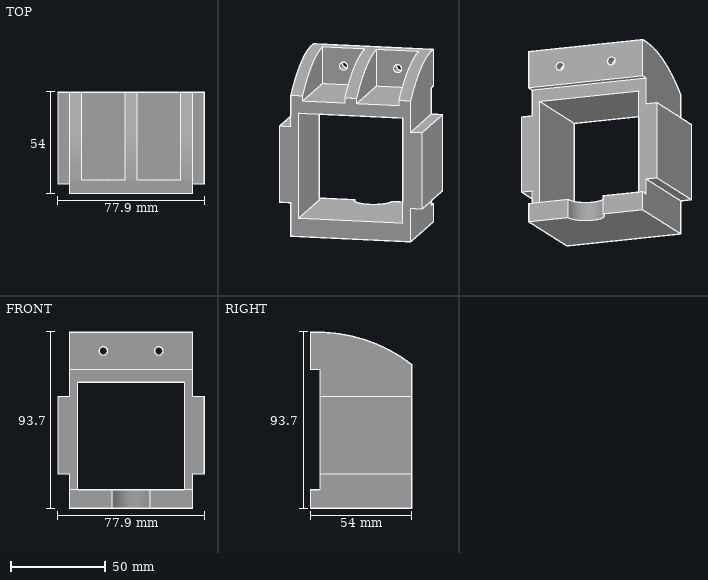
import cadquery as cq

height = 93.7
depth = 54.0
body_width = 65.5
width_over_flanges = 77.9

opening_width = 56.8
floor_thickness = 10.0
opening_top = 67.0

plate_height = 20.0
plate_thickness = 7.1
roof_top = height - plate_height
recess_depth = 5.1

flange_bottom = 18.2
flange_top = 59.6

rib_thickness = 6.5
rib_rear_height = 76.5
rib_crown_radius = 82.45

notch_radius = 10.0
hole_diameter = 4.3
hole_spacing = 29.5
hole_height = height - plate_height / 2


def block(width, y_front, y_back, z_bottom, z_top):
    """Box centred on x = 0 between the given y and z limits."""
    return cq.Workplane("XY").box(
        width, y_back - y_front, z_top - z_bottom, centered=(True, False, False)
    ).translate((0, y_front, z_bottom))


def rib(x_center):
    """Upright rib whose top arcs down from the plate to the rear."""
    return (
        cq.Workplane("YZ", origin=(x_center, 0, 0))
        .moveTo(depth, rib_rear_height)
        .lineTo(depth, roof_top)
        .lineTo(0, roof_top)
        .lineTo(0, height)
        .lineTo(plate_thickness, height)
        .radiusArc((depth, rib_rear_height), rib_crown_radius)
        .close()
        .extrude(rib_thickness / 2, both=True)
    )


frame = block(body_width, recess_depth, depth, 0, roof_top)
flanges = block(width_over_flanges, recess_depth, depth, flange_bottom, flange_top)
floor = block(body_width, 0, depth, 0, floor_thickness)
plate = block(body_width, 0, plate_thickness, roof_top, height)
result = frame.union(flanges).union(floor).union(plate)

outer_rib_x = (body_width - rib_thickness) / 2
for x_center in (-outer_rib_x, 0, outer_rib_x):
    result = result.union(rib(x_center))

result = result.cut(block(opening_width, 0, depth, floor_thickness, opening_top))

notch = cq.Workplane("XY").circle(notch_radius).extrude(floor_thickness)
result = result.cut(notch)

holes = (
    cq.Workplane("XZ", origin=(0, 0, hole_height))
    .pushPoints([(-hole_spacing / 2, 0), (hole_spacing / 2, 0)])
    .circle(hole_diameter / 2)
    .extrude(-plate_thickness)
)
result = result.cut(holes)